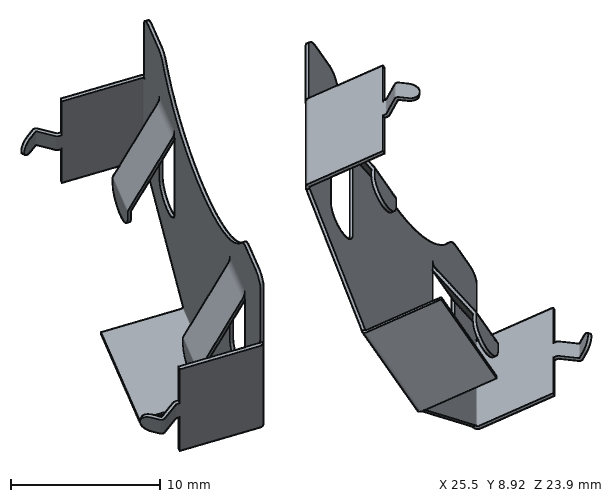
import cadquery as cq
import math

THICKNESS = 0.25
BEND_INNER = 0.13
BEND_OUTER = BEND_INNER + THICKNESS

HALF_WIDTH = 12.75
DEPTH = 8.92
HEIGHT = 23.85

CORNER_RADIUS = 1.0
FINGER_CUT_RADIUS = 9.0
FINGER_CUT_BOTTOM = 18.67
PLATE_BOTTOM = BEND_OUTER

WALL_OUTER_X = 11.85
WALL_LOW = 7.22
WALL_HIGH = 16.65
FLANGE_WIDTH = 7.65
FLANGE_DEPTH = 6.1
PLATE_HALF_WIDTH = WALL_OUTER_X - THICKNESS
WALL_BEND_X = WALL_OUTER_X - BEND_OUTER

TONGUE_X = 7.0
TONGUE_WIDTH = 3.0
TONGUE_TOP = 18.51
TONGUE_ROOT_RADIUS = 2.0
TONGUE_KNEE_Z = 10.7
TONGUE_REACH = 3.6
TONGUE_TIP_Z = 8.45
SLOT_BOTTOM = 7.5

HOOK_WIDTH = 1.6
HOOK_ROOT_Y = -6.3
HOOK_TILT = 37.0
HOOK_APEX_INNER = 0.03


def bent_strip(plane, start, heading, moves, width, round_tip=False):
    """Sheet strip whose right-hand face follows the moves, as seen in the plane of its profile.

    Each move is (length,) for a flat stretch or (angle, inner radius) for a bend, left positive.
    The strip is centred on the plane. A rounded tip adds half the width beyond the last move.
    """
    def ahead(point, angle, distance):
        direction = math.radians(angle)
        return (point[0] + distance * math.cos(direction), point[1] + distance * math.sin(direction))

    point = start
    right_face = []
    left_face = [ahead(start, heading + 90, THICKNESS)]
    left_arc_middles = []
    for move in moves:
        right_middle = left_middle = None
        if len(move) == 1:
            point = ahead(point, heading, move[0])
        else:
            angle, inner_radius = move
            side = math.copysign(90, angle)
            radius = inner_radius + THICKNESS if angle > 0 else inner_radius
            left_radius = inner_radius if angle > 0 else inner_radius + THICKNESS
            center = ahead(point, heading + side, radius)
            middle_direction = heading + angle / 2 - side
            right_middle = ahead(center, middle_direction, radius)
            left_middle = ahead(center, middle_direction, left_radius)
            heading += angle
            point = ahead(center, heading - side, radius)
        right_face.append((right_middle, point))
        left_face.append(ahead(point, heading + 90, THICKNESS))
        left_arc_middles.append(left_middle)

    profile = cq.Workplane(plane).moveTo(*start)
    for middle, end in right_face:
        profile = profile.threePointArc(middle, end) if middle else profile.lineTo(*end)
    profile = profile.lineTo(*left_face[-1])
    for middle, end in zip(reversed(left_arc_middles), reversed(left_face[:-1])):
        profile = profile.threePointArc(middle, end) if middle else profile.lineTo(*end)
    strip = profile.close().extrude(width / 2, both=True)

    if round_tip:
        across = plane.toWorldCoords(ahead((0, 0), heading + 90, 0.25)) - plane.origin
        tip_plane = cq.Plane(origin=plane.toWorldCoords(point), xDir=plane.zDir, normal=across)
        radius = width / 2
        tip = cq.Workplane(tip_plane).moveTo(-radius, 0).threePointArc((0, radius), (radius, 0))
        strip = strip.union(tip.close().extrude(THICKNESS))
    return strip


def make_plate():
    outline = [
        (FLANGE_WIDTH / 2, PLATE_BOTTOM),
        (WALL_BEND_X, WALL_LOW),
        (WALL_BEND_X, WALL_HIGH),
        (PLATE_HALF_WIDTH, WALL_HIGH),
        (PLATE_HALF_WIDTH, HEIGHT),
    ]
    outline += [(-x, z) for x, z in reversed(outline)]
    plate = cq.Workplane("XZ").polyline(outline).close().extrude(THICKNESS)
    finger_cut = (
        cq.Workplane("XZ")
        .center(0, FINGER_CUT_BOTTOM + FINGER_CUT_RADIUS)
        .circle(FINGER_CUT_RADIUS)
        .extrude(THICKNESS)
    )
    return plate.cut(finger_cut).faces(">Z").edges("|Y").fillet(CORNER_RADIUS)


def make_slot(x):
    radius = TONGUE_WIDTH / 2
    end_z = SLOT_BOTTOM + radius
    return (
        cq.Workplane("XZ")
        .moveTo(x - radius, TONGUE_TOP)
        .lineTo(x - radius, end_z)
        .threePointArc((x, SLOT_BOTTOM), (x + radius, end_z))
        .lineTo(x + radius, TONGUE_TOP)
        .close()
        .extrude(THICKNESS)
    )


def make_tongue(x):
    radii = TONGUE_ROOT_RADIUS + BEND_OUTER
    drop = TONGUE_TOP - TONGUE_KNEE_Z
    offset = TONGUE_REACH - THICKNESS - radii
    slope_length = math.sqrt(drop**2 + offset**2 - radii**2)
    slope = math.degrees(math.atan2(offset, drop) + math.atan2(radii, slope_length))
    moves = [
        (-slope, TONGUE_ROOT_RADIUS),
        (slope_length,),
        (slope, BEND_INNER),
        (TONGUE_KNEE_Z - TONGUE_TIP_Z - TONGUE_WIDTH / 2,),
    ]
    plane = cq.Plane(origin=(x, 0, 0), xDir=(0, 1, 0), normal=(1, 0, 0))
    return bent_strip(plane, (-THICKNESS, TONGUE_TOP), -90, moves, TONGUE_WIDTH, round_tip=True)


def make_bottom_flange():
    moves = [(-90, BEND_INNER), (FLANGE_DEPTH - BEND_OUTER,)]
    return bent_strip(cq.Plane.YZ(), (-THICKNESS, PLATE_BOTTOM), -90, moves, FLANGE_WIDTH)


def make_left_wall():
    plane = cq.Plane(origin=(0, 0, (WALL_LOW + WALL_HIGH) / 2))
    wall_moves = [(90, BEND_INNER), (FLANGE_DEPTH - BEND_OUTER,)]
    wall = bent_strip(plane, (-WALL_BEND_X, 0), 180, wall_moves, WALL_HIGH - WALL_LOW)

    tilt = math.radians(HOOK_TILT)
    apex_outer = HOOK_APEX_INNER + THICKNESS
    lean = HALF_WIDTH - WALL_OUTER_X - (BEND_INNER + apex_outer) * (1 - math.cos(tilt))
    out_length = lean / math.sin(tilt)
    out_depth = (BEND_INNER + 2 * apex_outer) * math.sin(tilt) + out_length * math.cos(tilt)
    back_length = (DEPTH + HOOK_ROOT_Y - out_depth) / math.cos(tilt)
    hook_moves = [
        (-HOOK_ROOT_Y - FLANGE_DEPTH,),
        (-HOOK_TILT, BEND_INNER),
        (out_length,),
        (2 * HOOK_TILT, HOOK_APEX_INNER),
        (back_length - HOOK_WIDTH / 2,),
    ]
    hook_start = (-WALL_OUTER_X, -FLANGE_DEPTH)
    hook = bent_strip(plane, hook_start, -90, hook_moves, HOOK_WIDTH, round_tip=True)
    return wall.union(hook)


result = make_plate()
for tongue_x in (-TONGUE_X, TONGUE_X):
    result = result.cut(make_slot(tongue_x)).union(make_tongue(tongue_x))
left_wall = make_left_wall()
result = result.union(left_wall).union(left_wall.mirror("YZ")).union(make_bottom_flange())